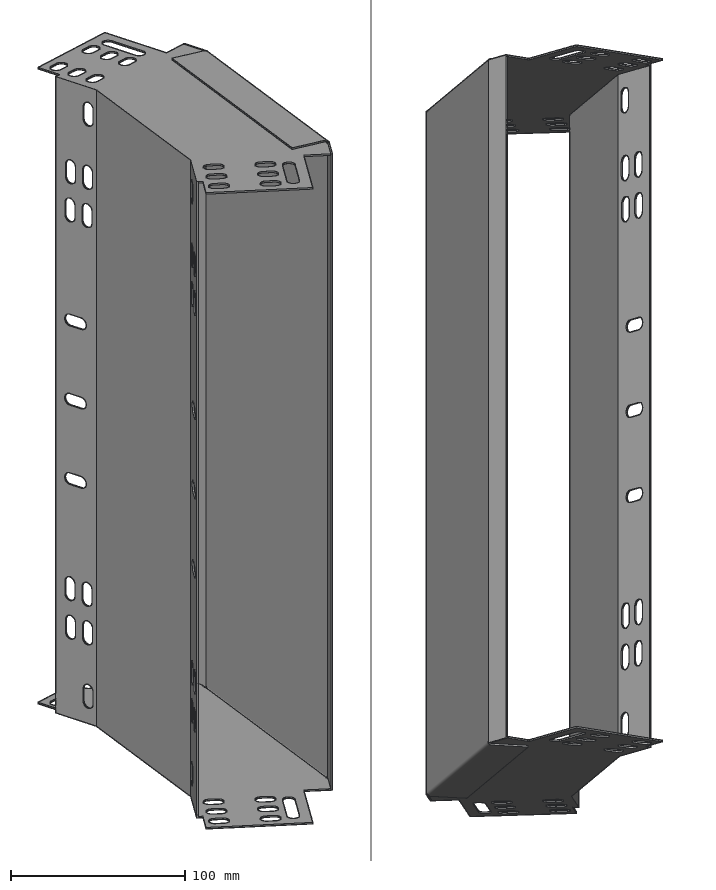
import cadquery as cq
import math

height = 403.0
width = 245.5
depth = 96.0
sheet = 1.0
bend_angle = math.radians(22.5)
tray_height = height - 2 * sheet

ear_width = 61.5
wall_step = 3.5
ear_overhang = 15.7
back_tab_setback = 45.0
cover_offset = 78.2
front_wall_y = -82.0

flange_half_length = 71.0
flange_depth = 23.8
flange_bend_radius = 2.0

ear_slot_width = 7.3
ear_slot_length = 12.0
ear_slot_columns = 3
ear_slot_pitch = 13.5
ear_slot_first = 8.5
ear_slot_rows = (8.5, 38.5)
ear_long_slot_length = 30.0
ear_long_slot_row = 51.5

wall_slot_width = 7.3
wall_slot_length = 15.0
cross_slot_length = 15.7
wall_slot_pitch = 12.5
cross_slot_centre = 14.5
cross_slot_spacing = 50.0
single_slot = (183.5, 23.8)
slot_pairs = ((143.5, 11.0), (119.5, 10.5))

ear_corner_x = width / 2 - ear_width * math.sin(bend_angle)


def ear_point(inward, back):
    """Point of the right-hand ear, from its front outer corner: along the ear and across it."""
    x = ear_corner_x - inward * math.cos(bend_angle) + back * math.sin(bend_angle)
    y = -depth + inward * math.sin(bend_angle) + back * math.cos(bend_angle)
    return x, y


def bend_point(y, back):
    """Corner where the straight line at this y meets the angled line at this place across the ear."""
    inward = (y + depth - back * math.cos(bend_angle)) / math.sin(bend_angle)
    return ear_point(inward, back)


def mirrored(points):
    """Right-hand points, front to back, followed by their left-hand mirror images."""
    return points + [(-x, y) for x, y in reversed(points)]


def mirror_sides(right):
    """A right-hand shape together with its left-hand mirror image."""
    return right.union(right.mirror("YZ"))


def bent_strip(outer_y, inner_y, outer_back, inner_back, end, length):
    """Sheet wall along Z with a straight middle and two angled sides."""
    outer = [ear_point(end, outer_back), bend_point(outer_y, outer_back)]
    inner = [ear_point(end, inner_back), bend_point(inner_y, inner_back)]
    outline = mirrored(outer) + list(reversed(mirrored(inner)))
    return cq.Workplane("XY").workplane(offset=-length / 2).polyline(outline).close().extrude(length)


def ear_slots():
    """Cutters for the slots of the right-hand ears, running through both tray plates."""
    cutters = cq.Workplane("XY").workplane(offset=-height / 2)
    tilt = -math.degrees(bend_angle)
    columns = [ear_slot_first + i * ear_slot_pitch for i in range(ear_slot_columns)]
    centres = [ear_point(column, row) for row in ear_slot_rows for column in columns]
    long_centre = ear_point(columns[1], ear_long_slot_row)
    short_slots = cutters.pushPoints(centres).slot2D(ear_slot_length, ear_slot_width, 90 + tilt)
    short_slots = short_slots.extrude(height)
    long_slot = cutters.pushPoints([long_centre]).slot2D(ear_long_slot_length, ear_slot_width, tilt)
    return short_slots.union(long_slot.extrude(height))


def wall_slots():
    """Cutters for the slots of the right-hand angled front wall."""
    wall_end = ear_point(ear_overhang, -wall_step)
    wall_plane = cq.Plane(
        origin=(*wall_end, 0),
        xDir=(math.cos(bend_angle), -math.sin(bend_angle), 0),
        normal=(-math.sin(bend_angle), -math.cos(bend_angle), 0),
    )
    slots = [single_slot]
    for z, outer in slot_pairs:
        slots += [(z, outer), (z, outer + wall_slot_pitch)]
    upright = [(-column, side * z) for z, column in slots for side in (-1, 1)]
    across = [(-cross_slot_centre, i * cross_slot_spacing) for i in (-1, 0, 1)]
    wall = cq.Workplane(wall_plane)
    cutters = wall.pushPoints(upright).slot2D(wall_slot_length, wall_slot_width, 90)
    cutters = cutters.pushPoints(across).slot2D(cross_slot_length, wall_slot_width, 0)
    return cutters.extrude(sheet, both=True)


def make_tray():
    """Bent front wall with a plate at each end, open at the back and at both sides."""
    inner_y = front_wall_y + sheet
    inner_back = sheet - wall_step
    tray = bent_strip(front_wall_y, inner_y, -wall_step, inner_back, ear_overhang, tray_height)
    back_y = -flange_bend_radius
    back_edge = cover_offset - sheet
    plate_outline = mirrored([
        bend_point(front_wall_y, -wall_step),
        ear_point(ear_overhang, -wall_step),
        ear_point(ear_overhang, 0),
        ear_point(0, 0),
        ear_point(0, ear_width),
        ear_point(back_tab_setback, ear_width),
        ear_point(back_tab_setback, back_edge),
        bend_point(back_y, back_edge),
    ])
    for bottom in (-tray_height / 2, tray_height / 2 - sheet):
        plate = cq.Workplane("XY").workplane(offset=bottom).polyline(plate_outline).close().extrude(sheet)
        tray = tray.union(plate)
    return tray.cut(mirror_sides(ear_slots())).cut(mirror_sides(wall_slots()))


def flange_block(length):
    """Block in front of Y = 0, as wide and deep as the cover flanges."""
    block = cq.Workplane("XY").box(2 * flange_half_length, flange_depth, length)
    return block.translate((0, -flange_depth / 2, 0))


def make_cover():
    """Bent back wall whose two flanges lap over the outsides of the tray plates."""
    inner_back = cover_offset - sheet
    wall = bent_strip(0, -sheet, cover_offset, inner_back, back_tab_setback, tray_height)
    outside = flange_block(height).edges("|X and >Y").fillet(flange_bend_radius)
    hollow = flange_block(tray_height).edges("|X and >Y").fillet(flange_bend_radius - sheet)
    channel = outside.cut(hollow.translate((0, -sheet, 0)))
    return wall.cut(flange_block(height)).union(channel)


tray = make_tray()
cover = make_cover()
result = cq.Compound.makeCompound([tray.solids().val(), cover.solids().val()])